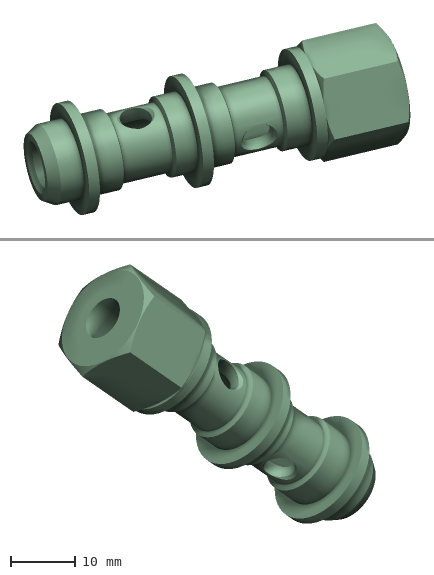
import cadquery as cq
import math

LENGTH = 59.0
HEAD_LENGTH = 13.85
HEAD_FLATS = 17.0
HEAD_CHAMFER_ANGLE = 30.0
HEAD_FACE_DIA = 16.75

SHANK_DIA = 13.0
TIP_CHAMFER_LENGTH = 1.8
TIP_FACE_DIA = 10.85
BORE_DIA = 6.95
BORE_MOUTH_DIA = 8.5

NECK_DIA = 11.25
NECK_LENGTH = 8.0
NECK_COUNT = 2
FIRST_NECK_OFFSET = 10.15
NECK_PITCH = 18.4
SHOULDER_SLOPE_LENGTH = 0.35
CROSS_HOLE_DIA = 5.0
CROSS_HOLE_MOUTH_DIA = 6.0

WASHER_DIA = 17.9
WASHER_THICKNESS = 1.75
WASHER_COUNT = 3
WASHER_PITCH = 18.9

HEAD_START = -HEAD_LENGTH
TIP = -LENGTH
NECK_CENTRES = [HEAD_START - FIRST_NECK_OFFSET - i * NECK_PITCH for i in range(NECK_COUNT)]


def cylinder_y(diameter, start, length):
    """Cylinder along +Y from the given start position."""
    plane = cq.Plane(origin=(0, start, 0), xDir=(1, 0, 0), normal=(0, 1, 0))
    return cq.Workplane(plane).circle(diameter / 2).extrude(length)


def revolve_y(points):
    """Solid of revolution about Y from (radius, y) points."""
    return cq.Workplane("XY").polyline(points).close().revolve(360, (0, 0, 0), (0, 1, 0))


def make_head():
    """Hexagonal head with conical chamfers on both ends."""
    corner_dia = HEAD_FLATS / math.cos(math.pi / 6)
    plane = cq.Plane(origin=(0, HEAD_START, 0), xDir=(1, 0, 0), normal=(0, 1, 0))
    hexagon = cq.Workplane(plane).polygon(6, corner_dia).extrude(HEAD_LENGTH)
    face_radius = HEAD_FACE_DIA / 2
    corner_radius = corner_dia / 2
    drop = (corner_radius - face_radius) * math.tan(math.radians(HEAD_CHAMFER_ANGLE))
    envelope = revolve_y([
        (0, HEAD_START),
        (face_radius, HEAD_START),
        (corner_radius, HEAD_START + drop),
        (corner_radius, -drop),
        (face_radius, 0),
        (0, 0),
    ])
    return hexagon.intersect(envelope)


def make_shank():
    """Shank with a chamfered tip and two reduced necks."""
    radius = SHANK_DIA / 2
    neck_radius = NECK_DIA / 2
    half_neck = NECK_LENGTH / 2
    half_opening = half_neck + SHOULDER_SLOPE_LENGTH
    points = [(0, HEAD_START), (radius, HEAD_START)]
    for centre in NECK_CENTRES:
        points += [
            (radius, centre + half_opening),
            (neck_radius, centre + half_neck),
            (neck_radius, centre - half_neck),
            (radius, centre - half_opening),
        ]
    points += [
        (radius, TIP + TIP_CHAMFER_LENGTH),
        (TIP_FACE_DIA / 2, TIP),
        (0, TIP),
    ]
    return revolve_y(points)


def make_bore():
    """Through bore with a 45 degree countersink at the tip."""
    mouth_depth = (BORE_MOUTH_DIA - BORE_DIA) / 2
    return revolve_y([
        (0, TIP),
        (BORE_MOUTH_DIA / 2, TIP),
        (BORE_DIA / 2, TIP + mouth_depth),
        (BORE_DIA / 2, 0),
        (0, 0),
    ])


def make_cross_hole(centre, plane_name):
    """Hole right across a neck, countersunk at 45 degrees on both sides."""
    hole_radius = CROSS_HOLE_DIA / 2
    mouth_radius = CROSS_HOLE_MOUTH_DIA / 2
    outer = NECK_DIA / 2
    sink_depth = mouth_radius - hole_radius
    return (
        cq.Workplane(plane_name)
        .polyline([
            (0, -outer),
            (mouth_radius, -outer),
            (hole_radius, sink_depth - outer),
            (hole_radius, outer - sink_depth),
            (mouth_radius, outer),
            (0, outer),
        ])
        .close()
        .revolve(360, (0, 0, 0), (0, 1, 0))
        .translate((0, centre, 0))
    )


def make_bolt():
    """Hollow bolt: head and shank in one piece, bored and cross drilled."""
    bolt = make_head().union(make_shank()).cut(make_bore())
    for centre, plane_name in zip(NECK_CENTRES, ("YX", "XZ")):
        bolt = bolt.cut(make_cross_hole(centre, plane_name))
    return bolt


def make_washer(start):
    """Flat sealing washer fitting the shank."""
    disc = cylinder_y(WASHER_DIA, start, WASHER_THICKNESS)
    return disc.cut(cylinder_y(SHANK_DIA, start, WASHER_THICKNESS))


bolt = make_bolt()
washers = [
    make_washer(HEAD_START - WASHER_THICKNESS - i * WASHER_PITCH)
    for i in range(WASHER_COUNT)
]

result = cq.Compound.makeCompound([bolt.val(), *[washer.val() for washer in washers]])